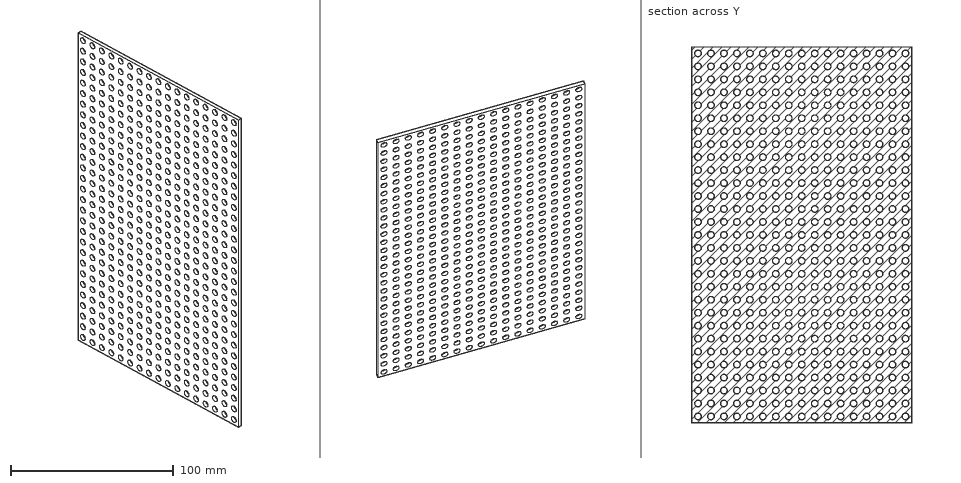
import cadquery as cq

height = 232.0
rows = 29
columns = 17
thickness = 2.5
hole_diameter = 4.0

pitch = height / rows
width = columns * pitch


def make_plate():
    """Plain rectangular plate centred on the origin."""
    return cq.Workplane("XY").box(width, thickness, height)


def drill_hole_grid(plate):
    """Drill a hole through the plate at the centre of every grid cell."""
    return (
        plate.faces("<Y")
        .workplane(centerOption="CenterOfBoundBox")
        .rarray(pitch, pitch, columns, rows)
        .hole(hole_diameter)
    )


result = drill_hole_grid(make_plate())